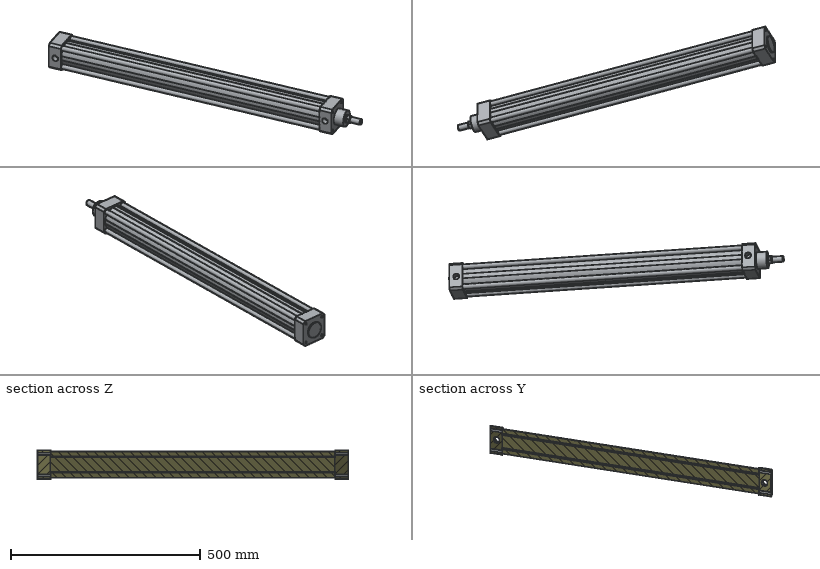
import cadquery as cq

TOTAL_LENGTH = 894.0
REAR_BOSS_LENGTH = 4.0
CAP_LENGTH = 35.0
FRONT_CAP_END = 824.0
FRONT_BOSS_LENGTH = 27.0
ROD_SHOULDER_X = 864.5

CAP_SIZE = 76.0
CAP_CORNER_RADIUS = 49.0
BOSS_RADIUS = 22.0
LIP_RADIUS = 11.0
LIP_LENGTH = 3.0
PORT_RADIUS = 8.0
PORT_DEPTH = 18.0
PORT_TO_OUTER_FACE = 19.0
PORT_OFFSET = 2.0
SCREW_SPACING = 56.0
SCREW_HOLE_RADIUS = 3.0

BARREL_RADIUS = 34.0
COLUMN_RADIUS = 6.7
GROOVE_WIDTH = 12.5
GROOVE_DEPTH = 1.0

ROD_RADIUS = 10.0
ROD_CHAMFER = 2.0
FLATS_WIDTH = 17.0
FLATS_LENGTH = 6.0
FLATS_TO_SHOULDER = 3.0
THREAD_RADIUS = 8.0
THREAD_CHAMFER = 2.0

REAR_CAP_END = REAR_BOSS_LENGTH + CAP_LENGTH
FRONT_CAP_START = FRONT_CAP_END - CAP_LENGTH
FRONT_BOSS_END = FRONT_CAP_END + FRONT_BOSS_LENGTH
LIP_END = FRONT_BOSS_END + LIP_LENGTH
BARREL_LENGTH = FRONT_CAP_START - REAR_CAP_END
FLATS_END = ROD_SHOULDER_X - FLATS_TO_SHOULDER


def at_x(x):
    """Workplane across the axis: local x runs along +Z, local y along -Y, extrusions along +X."""
    return cq.Workplane(cq.Plane(origin=(x, 0, 0), xDir=(0, 0, 1), normal=(1, 0, 0)))


def cylinder(x_start, x_end, radius):
    return at_x(x_start).circle(radius).extrude(x_end - x_start)


def corner_cylinders(x_start, length, radius):
    """Four cylinders along X on the square pattern of the cap screws."""
    corners = at_x(x_start).rect(SCREW_SPACING, SCREW_SPACING, forConstruction=True).vertices()
    return corners.circle(radius).extrude(length)


def make_cap_block(x_start, port_x, port_z):
    """Square cap with turned corners, four screw holes and a blind port in its -Y side."""
    block = at_x(x_start).rect(CAP_SIZE, CAP_SIZE).extrude(CAP_LENGTH)
    block = block.intersect(cylinder(x_start, x_start + CAP_LENGTH, CAP_CORNER_RADIUS))
    port_plane = cq.Workplane("XZ", origin=(port_x, -CAP_SIZE / 2, port_z))
    port = port_plane.circle(PORT_RADIUS).extrude(-PORT_DEPTH)
    return block.cut(port).cut(corner_cylinders(x_start, CAP_LENGTH, SCREW_HOLE_RADIUS))


def make_rear_cap():
    block = make_cap_block(REAR_BOSS_LENGTH, REAR_BOSS_LENGTH + PORT_TO_OUTER_FACE, -PORT_OFFSET)
    return block.union(cylinder(0, REAR_BOSS_LENGTH, BOSS_RADIUS))


def make_front_cap():
    block = make_cap_block(FRONT_CAP_START, FRONT_CAP_END - PORT_TO_OUTER_FACE, PORT_OFFSET)
    boss = cylinder(FRONT_CAP_END, FRONT_BOSS_END, BOSS_RADIUS)
    lip = cylinder(FRONT_BOSS_END, LIP_END, LIP_RADIUS)
    rod_hole = cylinder(FRONT_CAP_START, LIP_END, ROD_RADIUS)
    return block.union(boss).union(lip).cut(rod_hole)


def make_barrel():
    """Round barrel with a shallow groove along each side and a column along each corner."""
    barrel = cylinder(REAR_CAP_END, FRONT_CAP_START, BARREL_RADIUS)
    groove_floor = cylinder(REAR_CAP_END, FRONT_CAP_START, BARREL_RADIUS - GROOVE_DEPTH)
    diameter = 2 * BARREL_RADIUS
    for height, width in ((GROOVE_WIDTH, diameter), (diameter, GROOVE_WIDTH)):
        strip = at_x(REAR_CAP_END).rect(height, width).extrude(BARREL_LENGTH)
        barrel = barrel.cut(strip.cut(groove_floor))
    return barrel.union(corner_cylinders(REAR_CAP_END, BARREL_LENGTH, COLUMN_RADIUS))


def make_rod():
    rod = cylinder(FRONT_CAP_START, ROD_SHOULDER_X, ROD_RADIUS).faces(">X").chamfer(ROD_CHAMFER)
    flats_section = cylinder(FLATS_END - FLATS_LENGTH, FLATS_END, ROD_RADIUS)
    between_flats = at_x(FLATS_END - FLATS_LENGTH).rect(2 * ROD_RADIUS, FLATS_WIDTH).extrude(FLATS_LENGTH)
    rod = rod.cut(flats_section.cut(between_flats))
    thread = cylinder(ROD_SHOULDER_X, TOTAL_LENGTH, THREAD_RADIUS).faces(">X").chamfer(THREAD_CHAMFER)
    return rod.union(thread)


rear_cap = make_rear_cap()
barrel = make_barrel()
front_cap = make_front_cap()
rod = make_rod()

result = cq.Compound.makeCompound([rear_cap.val(), barrel.val(), front_cap.val(), rod.val()])